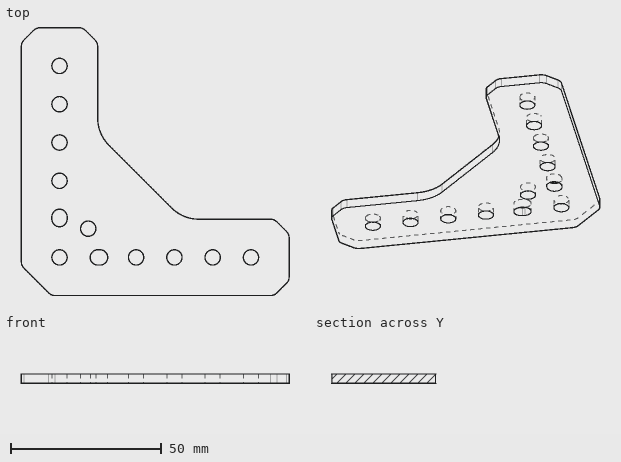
import cadquery as cq

INCH = 25.4

leg_length = 3.5 * INCH
leg_width = 1.0 * INCH
thickness = 0.125 * INCH

end_chamfer = 5.0
heel_chamfer = 2 * end_chamfer
corner_radius = 3.0
web_leg = 28.2
web_radius = 0.5 * INCH

hole_diameter = 5.0
hole_pitch = 0.5 * INCH
holes_per_leg = 6
edge_offset = leg_width / 2
slot_stretch = 0.75
diagonal_hole_offset = 0.375 * INCH

web_end = leg_width + web_leg


def make_plate():
    """L-shaped plate with chamfered outer corners and a diagonal inner web."""
    foot_corners = [
        (heel_chamfer, 0),
        (leg_length - end_chamfer, 0),
        (leg_length, end_chamfer),
        (leg_length, leg_width - end_chamfer),
        (leg_length - end_chamfer, leg_width),
        (web_end, leg_width),
    ]
    mirrored_corners = [(y, x) for x, y in reversed(foot_corners)]
    return cq.Workplane("XY").polyline(foot_corners + mirrored_corners).close().extrude(thickness)


def is_web_corner(edge):
    """True for the two concave edges where the web meets the legs."""
    center = edge.Center()
    tip_start = leg_length - end_chamfer
    return min(center.x, center.y) > edge_offset and max(center.x, center.y) < tip_start


def round_corners(plate):
    """Round the concave web corners and the convex outer corners."""
    vertical_edges = plate.edges("|Z").vals()
    web_edges = [edge for edge in vertical_edges if is_web_corner(edge)]
    outer_edges = [edge for edge in vertical_edges if not is_web_corner(edge)]
    rounded = plate.val().fillet(web_radius, web_edges)
    return cq.Workplane(rounded.fillet(corner_radius, outer_edges))


def round_holes():
    """Cutters for the round holes along both legs and on the diagonal."""
    diagonal = edge_offset + diagonal_hole_offset
    centers = [(edge_offset, edge_offset), (diagonal, diagonal)]
    first_round_index = 2
    for index in range(first_round_index, holes_per_leg):
        along = edge_offset + index * hole_pitch
        centers.append((along, edge_offset))
        centers.append((edge_offset, along))
    return cq.Workplane("XY").pushPoints(centers).circle(hole_diameter / 2).extrude(thickness)


def leg_slot(center, angle):
    """Cutter for one short slot running along its leg."""
    return (
        cq.Workplane("XY")
        .center(*center)
        .slot2D(hole_diameter + slot_stretch, hole_diameter, angle)
        .extrude(thickness)
    )


slot_center = edge_offset + hole_pitch + slot_stretch / 2

result = (
    round_corners(make_plate())
    .cut(round_holes())
    .cut(leg_slot((slot_center, edge_offset), 0))
    .cut(leg_slot((edge_offset, slot_center), 90))
)